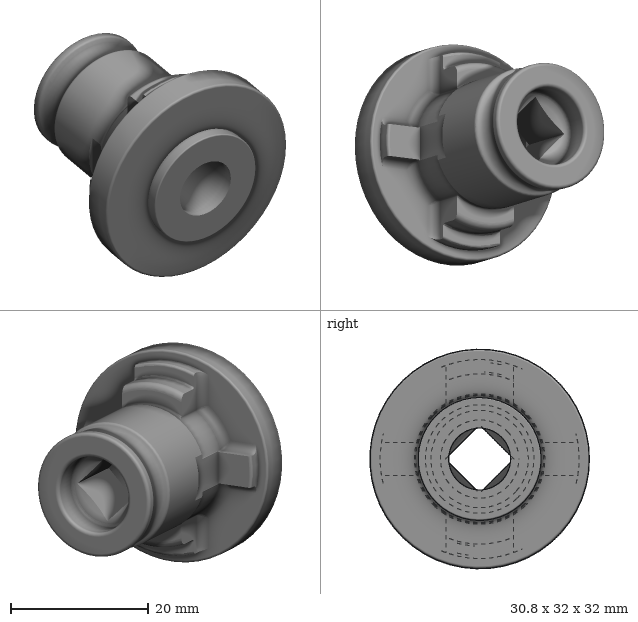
import cadquery as cq
import math

flat_start = 14.75
barrel_end = 17.0
block_face = 17.95
ledge_face = 21.75
flange_start = 23.85
flange_end = 28.55
collar_start = 29.05
total_length = 30.8

rim_dia = 18.65
barrel_dia = 19.0
neck_dia = 18.5
block_dia = 24.8
ledge_dia = 29.0
flange_dia = 32.0
groove_neck_dia = 14.2
collar_dia = 17.9

grip_floor_dia = 15.8
grip_radius = 2.25
grip_center_x = 3.55

flat_spacing = 17.85
flat_cut_height = 9.0
lug_width = 4.75
lug_foot_spread = 20.0
block_width = 9.8

bore_dia = 11.4
bore_depth = 4.1
drill_point_angle = 140.0
square_side = 7.05
square_turn = 45.0
square_end = 14.0
shank_dia = 9.0

tolerance = 0.01

rim_round = 0.5
mouth_round = 0.55
flange_round = 0.35
barrel_round = 0.25
collar_round = 0.2
block_round = 1.0
ledge_round = 0.4
ledge_corner_round = 0.3
root_round = 0.3
flange_root_round = 1.25


def disc(start, end, diameter):
    """Cylinder on the X axis between two stations."""
    return cq.Workplane("YZ", origin=(start, 0, 0)).circle(diameter / 2).extrude(end - start)


def slab(start, end, width_y, width_z):
    """Rectangular bar centred on the X axis."""
    return cq.Workplane("YZ", origin=(start, 0, 0)).rect(width_y, width_z).extrude(end - start)


def make_shank():
    """Barrel with its rim, rounded groove and softened edges."""
    rim = disc(0, grip_center_x, rim_dia)
    barrel = disc(grip_center_x, barrel_end, barrel_dia).faces(">X").edges().fillet(barrel_round)
    grip_center_r = grip_floor_dia / 2 + grip_radius
    grip = (
        cq.Workplane("XY")
        .center(grip_center_x, grip_center_r)
        .circle(grip_radius)
        .revolve(360, (0, -grip_center_r, 0), (1, -grip_center_r, 0))
    )
    body = rim.union(barrel).cut(grip)
    groove_edges = cq.selectors.BoxSelector(
        (-flange_dia, -flange_dia, -flange_dia), (grip_center_x + 2 * grip_radius, flange_dia, flange_dia)
    )
    return body.edges(groove_edges).edges("%CIRCLE").fillet(rim_round)


def radius_of(edge):
    """Distance from the X axis to the middle of an edge."""
    middle = edge.positionAt(0.5)
    return math.hypot(middle.y, middle.z)


def is_ledge_corner(edge):
    """Inner corner where the top of the block ring meets the ledge ring."""
    box = edge.BoundingBox()
    on_ledge = abs(box.xmin - ledge_face) < tolerance and abs(box.xmax - ledge_face) < tolerance
    return on_ledge and abs(radius_of(edge) - block_dia / 2) < tolerance


def make_lugs():
    """Two side lugs and two stepped blocks in front of the flange."""
    ledge_ring = disc(ledge_face, flange_start, ledge_dia).faces("<X").edges().fillet(ledge_round)
    lugs = ledge_ring.intersect(slab(ledge_face, flange_start, flange_dia, lug_width))
    lug_feet = slab(barrel_end, flange_start, lug_foot_spread, lug_width)
    block_ring = disc(block_face, flange_start, block_dia).faces("<X").edges().fillet(block_round)
    stepped = ledge_ring.union(block_ring)
    stepped = stepped.newObject(stepped.edges().filter(is_ledge_corner).vals()).fillet(ledge_corner_round)
    blocks = stepped.intersect(slab(block_face, flange_start, block_width, flange_dia))
    return lugs.union(lug_feet).union(blocks)


def is_lug_root(edge):
    """Edge where a lug or block rises from the neck."""
    box = edge.BoundingBox()
    on_neck = abs(radius_of(edge) - neck_dia / 2) < tolerance
    return on_neck and box.xmax > barrel_end + tolerance and box.xmin < flange_start - tolerance


def is_flange_root(edge):
    """Edge on the flange face inside the outer arcs of the lugs."""
    box = edge.BoundingBox()
    on_face = box.xmin > flange_start - tolerance and box.xmax < flange_start + tolerance
    return on_face and radius_of(edge) < ledge_dia / 2 - tolerance


def make_lugged_flange():
    """Flange with the neck, lugs and blocks blended into its front face."""
    neck = disc(barrel_end, flange_start, neck_dia).union(make_lugs())
    neck = neck.newObject(neck.edges().filter(is_lug_root).vals()).fillet(root_round)
    flange = disc(flange_start, flange_end, flange_dia).edges().fillet(flange_round)
    body = neck.union(flange)
    return body.newObject(body.edges().filter(is_flange_root).vals()).fillet(flange_root_round)


def make_end_collar():
    """Groove and collar behind the flange."""
    groove_neck = disc(flange_end, collar_start, groove_neck_dia)
    collar = disc(collar_start, total_length, collar_dia).faces(">X").edges().fillet(collar_round)
    return groove_neck.union(collar)


def cut_flats(body):
    """Two parallel flats running from the barrel to the front of the side lugs."""
    cut_depth = lug_foot_spread - flat_spacing
    cutter = slab(flat_start, ledge_face, cut_depth, flat_cut_height)
    for side in (1, -1):
        offset = side * (flat_spacing + cut_depth) / 2
        body = body.cut(cutter.translate((0, offset, 0)))
    return body


def make_socket():
    """Bore with a conical floor, square drive turned on its corner, and shank hole."""
    cone_depth = bore_dia / 2 / math.tan(math.radians(drill_point_angle / 2))
    bore = (
        cq.Workplane("XY")
        .polyline([(0, 0), (0, bore_dia / 2), (bore_depth, bore_dia / 2), (bore_depth + cone_depth, 0)])
        .close()
        .revolve(360, (0, 0, 0), (1, 0, 0))
    )
    square = slab(bore_depth, square_end, square_side, square_side).rotate((0, 0, 0), (1, 0, 0), square_turn)
    shank_hole = disc(square_end, total_length, shank_dia)
    return bore.union(square).union(shank_hole)


def is_bore_rim(edge):
    """Circle at the mouth or the floor corner of the bore."""
    at_bore = abs(radius_of(edge) - bore_dia / 2) < tolerance
    return at_bore and edge.geomType() == "CIRCLE"


body = make_shank().union(make_lugged_flange()).union(make_end_collar())
body = cut_flats(body).cut(make_socket())
result = body.newObject(body.edges().filter(is_bore_rim).vals()).fillet(mouth_round)